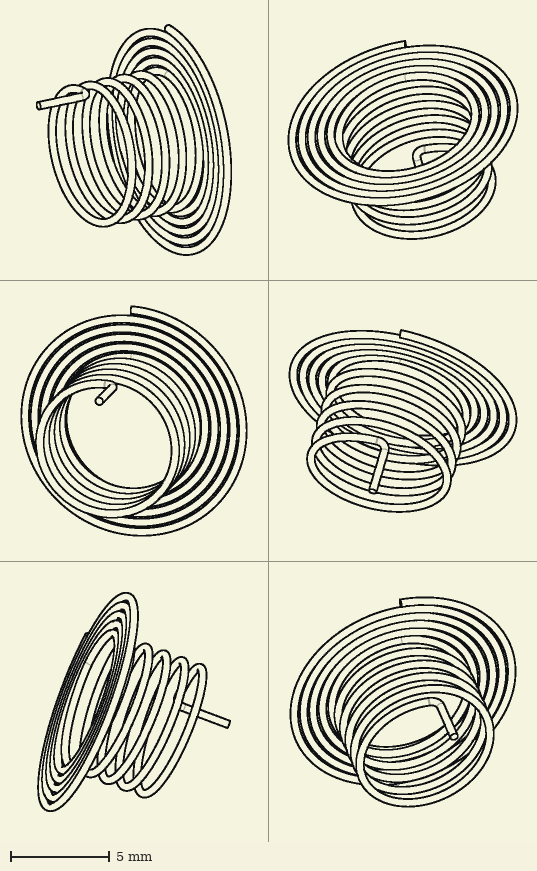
import cadquery as cq
import math

overall_height = 12.15
wire_diameter = 0.4
turns = 5
spiral_pitch = 0.5
helix_length = 5.0
lead_length = 0.05
bend_radius = 0.5
leg_length = 2.5
points_per_turn = 24

outer_radius = (overall_height - wire_diameter + spiral_pitch / 2) / 2
coil_radius = outer_radius - turns * spiral_pitch

coil_start = (0, 0, coil_radius)
leg_start = (0, -helix_length, coil_radius)


def wire_section(start):
    """Round wire section whose plane is normal to X."""
    return cq.Workplane("YZ", origin=start).circle(wire_diameter / 2)


def spiral_point(turn):
    """Centreline point of the flat spiral in the XZ plane, after a number of turns."""
    angle = 2 * math.pi * turn
    radius = coil_radius + spiral_pitch * turn
    return (-radius * math.sin(angle), 0, radius * math.cos(angle))


def flat_spiral():
    """Flat spiral growing outward from the start of the helix."""
    point_count = turns * points_per_turn + 1
    points = [spiral_point(i / points_per_turn) for i in range(point_count)]
    path = cq.Workplane("XY").spline(points)
    return wire_section(coil_start).sweep(path)


def helix():
    """Helix around Y from the inner end of the spiral towards -Y."""
    axis = cq.Vector(0, -1, 0)
    path = cq.Wire.makeHelix(helix_length / turns, helix_length, coil_radius, dir=axis, lefthand=True)
    path = path.rotate(cq.Vector(0, 0, 0), axis, 180)
    return wire_section(coil_start).sweep(cq.Workplane(path), isFrenet=True)


def bent_leg():
    """Short lead, quarter bend from +X to -Y, then a straight leg."""
    leg_x = lead_length + bend_radius
    path = (
        cq.Workplane("XY", origin=leg_start)
        .lineTo(lead_length, 0)
        .tangentArcPoint((leg_x, -bend_radius), relative=False)
        .lineTo(leg_x, -bend_radius - leg_length)
    )
    return wire_section(leg_start).sweep(path)


result = flat_spiral().union(helix()).union(bent_leg())